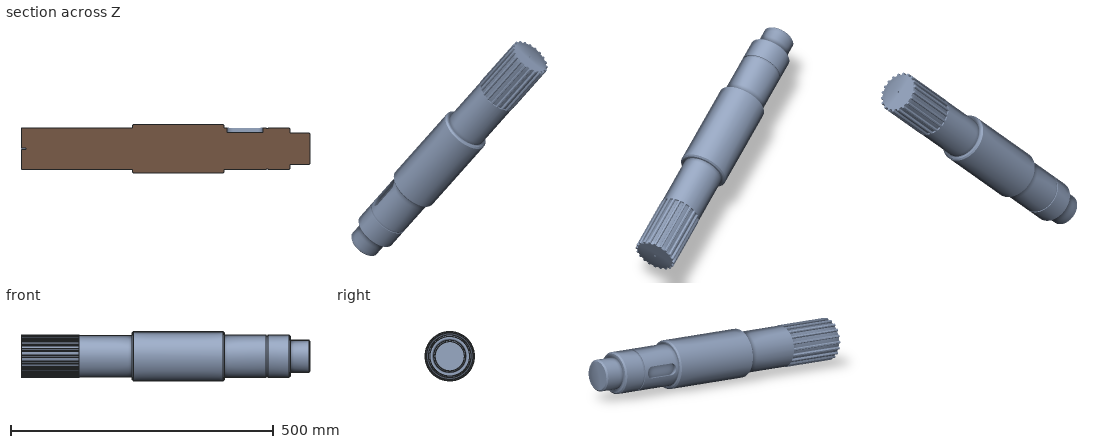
import cadquery as cq

LENGTH = 550.0
SPLINE_END = 110.0
COLLAR_START = 211.0
COLLAR_END = 386.5
GROOVE_START = 466.0
GROOVE_WIDTH = 4.0
SEAT_END = 512.0

NECK_DIAMETER = 79.0
COLLAR_DIAMETER = 94.0
SEAT_DIAMETER = 81.0
GROOVE_DIAMETER = 77.5
STUB_DIAMETER = 61.0

COLLAR_CHAMFER = 3.0
END_CHAMFER = 3.0

TOOTH_COUNT = 20
TOOTH_WIDTH = 5.0
TOOTH_TIP_WIDTH = 3.0
TOOTH_TIP_CHAMFER_DEPTH = 1.5
SPLINE_ROOT_DIAMETER = 72.5
SPLINE_TIP_DIAMETER = SEAT_DIAMETER

CENTRE_HOLE_DIAMETER = 2.0
CENTRE_HOLE_DEPTH = 8.0
COUNTERSINK_DIAMETER = 4.5
COUNTERSINK_ANGLE = 60

KEYWAY_START = 392.0
KEYWAY_END = 460.0
KEYWAY_WIDTH = 23.0
KEYWAY_DEPTH = 9.0


def cylinder(start, end, diameter):
    """Solid cylinder on the X axis between two stations."""
    return cq.Workplane("YZ", origin=(start, 0, 0)).circle(diameter / 2).extrude(end - start)


def spline():
    """Root cylinder ringed by evenly spaced teeth, one of them on the +Y axis."""
    half_width = TOOTH_WIDTH / 2
    half_tip = TOOTH_TIP_WIDTH / 2
    tip = SPLINE_TIP_DIAMETER / 2
    shoulder = tip - TOOTH_TIP_CHAMFER_DEPTH
    tooth = (
        cq.Workplane("YZ")
        .polyline([
            (0, -half_width),
            (shoulder, -half_width),
            (tip, -half_tip),
            (tip, half_tip),
            (shoulder, half_width),
            (0, half_width),
        ])
        .close()
        .extrude(SPLINE_END)
    )
    toothed = cylinder(0, SPLINE_END, SPLINE_ROOT_DIAMETER)
    for i in range(TOOTH_COUNT):
        toothed = toothed.union(tooth.rotate((0, 0, 0), (1, 0, 0), i * 360 / TOOTH_COUNT))
    return toothed


def stepped_shaft():
    """Neck, collar, seat and end stub behind the spline."""
    neck = cylinder(SPLINE_END, COLLAR_START, NECK_DIAMETER)
    collar = cylinder(COLLAR_START, COLLAR_END, COLLAR_DIAMETER)
    collar = collar.faces("<X or >X").edges().chamfer(COLLAR_CHAMFER)
    seat = cylinder(COLLAR_END, SEAT_END, SEAT_DIAMETER).faces(">X").chamfer(END_CHAMFER)
    stub = cylinder(SEAT_END, LENGTH, STUB_DIAMETER).faces(">X").chamfer(END_CHAMFER)
    return neck.union(collar).union(seat).union(stub)


def ring_groove():
    """Ring of material removed around the seat."""
    groove_end = GROOVE_START + GROOVE_WIDTH
    outer = cylinder(GROOVE_START, groove_end, COLLAR_DIAMETER)
    return outer.cut(cylinder(GROOVE_START, groove_end, GROOVE_DIAMETER))


def keyway():
    """Slot-shaped cutter that reaches from the keyway floor out past the seat."""
    middle = (KEYWAY_START + KEYWAY_END) / 2
    floor = SEAT_DIAMETER / 2 - KEYWAY_DEPTH
    return (
        cq.Workplane("XZ", origin=(middle, floor, 0))
        .slot2D(KEYWAY_END - KEYWAY_START, KEYWAY_WIDTH)
        .extrude(-2 * KEYWAY_DEPTH)
    )


shaft = stepped_shaft().union(spline()).cut(ring_groove()).cut(keyway())

result = (
    shaft.faces("<X")
    .workplane(origin=(0, 0, 0))
    .cskHole(CENTRE_HOLE_DIAMETER, COUNTERSINK_DIAMETER, COUNTERSINK_ANGLE, CENTRE_HOLE_DEPTH)
)